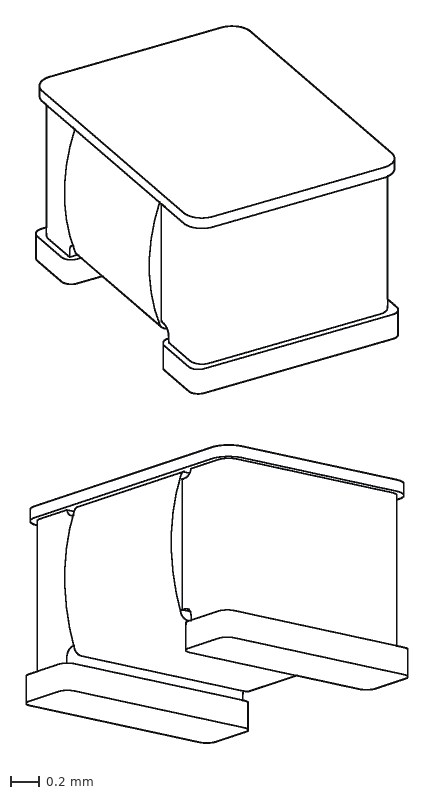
import cadquery as cq
import math

core_length = 2.2
core_width = 1.6
post_corner_radius = 0.1
post_length = 0.4
web_height = 0.96
web_middle_z = 0.8
notch_radius = 0.07

overhang = 0.05
foot_length = 0.5
foot_height = 0.2
foot_corner_radius = 0.08

lid_bottom_z = 1.335
lid_top_z = 1.42
lid_corner_radius = post_corner_radius + overhang

winding_length = 1.2
winding_wall = 0.07
winding_width = 1.8
bulge_radius = 1.5

outer_length = core_length + 2 * overhang
outer_width = core_width + 2 * overhang
window_length = core_length - 2 * post_length
web_bottom_z = web_middle_z - web_height / 2
web_top_z = web_middle_z + web_height / 2
winding_half_height = web_height / 2 + winding_wall
foot_center_x = (outer_length - foot_length) / 2


def rounded_block(length, width, bottom_z, top_z, corner_radius):
    """Upright block centred on the Z axis with rounded vertical edges."""
    block = cq.Workplane("XY").workplane(offset=bottom_z).rect(length, width).extrude(top_z - bottom_z)
    return block.edges("|Z").fillet(corner_radius)


def window(bottom_z, top_z, rounded_edges):
    """Opening between the posts, running through in Y, with fillets where it meets the web."""
    height = top_z - bottom_z
    opening = cq.Workplane("XY").box(window_length, 2 * core_width, height)
    opening = opening.edges(rounded_edges).edges("|Y").fillet(notch_radius)
    return opening.translate((0, 0, bottom_z + height / 2))


def make_core():
    """Posts and web with one foot under each post."""
    body = rounded_block(core_length, core_width, foot_height, lid_bottom_z, post_corner_radius)
    body = body.cut(window(0, web_bottom_z, ">Z"))
    body = body.cut(window(web_top_z, web_top_z + web_bottom_z, "<Z"))
    for side in (-1, 1):
        foot = rounded_block(foot_length, outer_width, 0, foot_height, foot_corner_radius)
        body = body.union(foot.translate((side * foot_center_x, 0, 0)))
    return body


def winding_envelope():
    """Solid winding outline: flat top and bottom, bulged sides, rounded corners."""
    crest_y = winding_width / 2
    bulge_depth = bulge_radius - math.sqrt(bulge_radius**2 - winding_half_height**2)
    edge_y = crest_y - bulge_depth
    profile = (
        cq.Workplane("YZ", origin=(-winding_length / 2, 0, web_middle_z))
        .moveTo(-edge_y, -winding_half_height)
        .lineTo(edge_y, -winding_half_height)
        .threePointArc((crest_y, 0), (edge_y, winding_half_height))
        .lineTo(-edge_y, winding_half_height)
        .threePointArc((-crest_y, 0), (-edge_y, -winding_half_height))
        .close()
    )
    return profile.extrude(winding_length).edges("|X").fillet(winding_wall)


def make_winding():
    """Sleeve wound around the web of the core."""
    web_hole = cq.Workplane("XY").box(2 * winding_length, core_width, web_height)
    return winding_envelope().cut(web_hole.translate((0, 0, web_middle_z)))


def make_lid():
    """Flat cover on the posts, with a shallow recess for the crown of the winding."""
    plate = rounded_block(outer_length, outer_width, lid_bottom_z, lid_top_z, lid_corner_radius)
    return plate.cut(winding_envelope())


core = make_core()
winding = make_winding()
lid = make_lid()

result = cq.Compound.makeCompound([body.solids().val() for body in (core, winding, lid)])